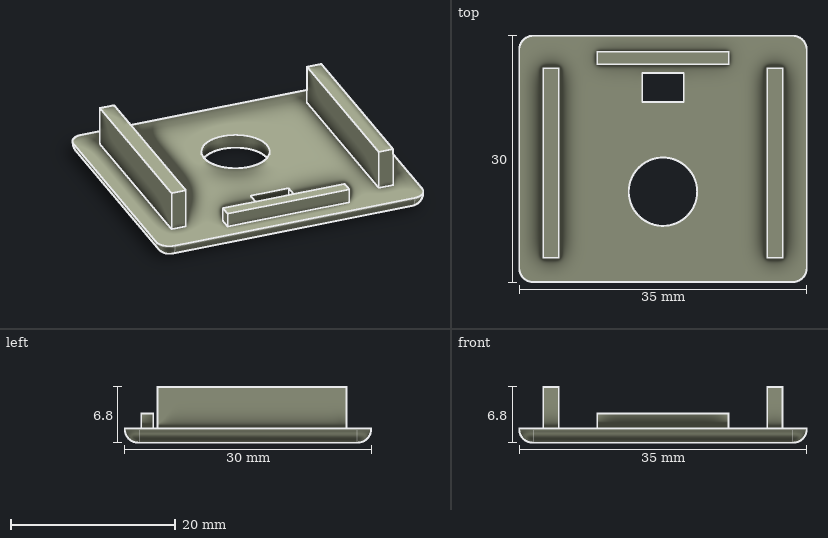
import cadquery as cq

plate_length = 35.0
plate_width = 30.0
plate_thickness = 1.8
corner_radius = 1.75
bottom_edge_radius = 1.68

total_height = 6.8
side_rib_thickness = 1.9
side_rib_length = 23.03
side_rib_offset_x = 13.6
side_rib_center_y = -0.5

back_rib_length = 16.0
back_rib_thickness = 1.5
back_rib_height = 1.8
back_rib_center_y = 12.25

hole_diameter = 8.3
hole_center_y = -4.0
window_length = 5.0
window_width = 3.5
window_center_y = 8.68


def make_plate():
    """Plate with rounded corners and a rounded bottom edge."""
    plate = cq.Workplane("XY").box(
        plate_length, plate_width, plate_thickness, centered=(True, True, False)
    )
    return plate.edges("|Z").fillet(corner_radius).faces("<Z").edges().fillet(bottom_edge_radius)


def make_rib(center_x, center_y, size_x, size_y, height):
    """Rectangular rib standing on top of the plate, rooted halfway into it."""
    root_depth = plate_thickness / 2
    return (
        cq.Workplane("XY", origin=(center_x, center_y, plate_thickness - root_depth))
        .rect(size_x, size_y)
        .extrude(height + root_depth)
    )


result = make_plate()

for side in (-1, 1):
    side_rib = make_rib(
        side * side_rib_offset_x,
        side_rib_center_y,
        side_rib_thickness,
        side_rib_length,
        total_height - plate_thickness,
    )
    result = result.union(side_rib)

back_rib = make_rib(0, back_rib_center_y, back_rib_length, back_rib_thickness, back_rib_height)
result = result.union(back_rib)

round_hole = (
    cq.Workplane("XY", origin=(0, hole_center_y, 0))
    .circle(hole_diameter / 2)
    .extrude(plate_thickness)
)
window = (
    cq.Workplane("XY", origin=(0, window_center_y, 0))
    .rect(window_length, window_width)
    .extrude(plate_thickness)
)
result = result.cut(round_hole).cut(window)